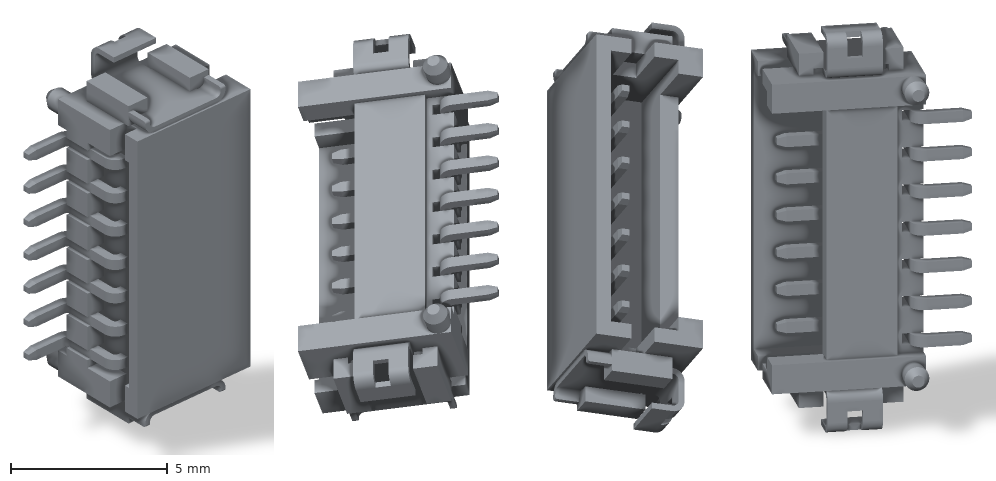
import cadquery as cq
import math


height = 3.6
depth = 5.0
half_length = 5.2
flange_inner_z = 4.225
flange_height = 2.5
back_face_y = 0.7
floor_x = 0.2
floor_front_y = 0.9
floor_back_y = 3.2
bar_bottom_x = 0.42
bar_top_x = 1.42
lip_front_y = 0.2
lip_end_x = 3.0
lip_middle_x = 3.2

cavity_bottom_x = 0.82
cavity_top_x = 3.1
cavity_half_length = 4.7
cavity_back_y = 1.4
mouth_slot_bottom_x = 1.63
mouth_slot_top_x = 2.42

pin_count = 7
pin_pitch = 1.25
pin_width = 0.37
pin_thickness = 0.33
pin_leg_y = 0.12
pin_bend_radius = 0.46
pin_top_x = 2.56
pin_tail_tip_y = -1.5
pin_contact_tip_y = 4.4
pin_taper_length = 0.3
pin_tip_width = 0.21
pin_tip_inset = 0.04

post_radius = 0.4
post_tip_radius = 0.2
post_length = 0.8
post_cone_length = 0.27
post_y = post_radius
post_z = half_length - post_radius

block_bottom_x = 0.69
block_top_x = 2.72
block_end_z = 5.95
block_width = 0.8
block_outer_y = (0.6, 4.0)
clip_center_y = sum(block_outer_y) / 2

sheet = 0.2
bend_radius = 2 * sheet
clip_width = block_outer_y[1] - block_outer_y[0] - 2 * block_width
clip_end_z = 6.7
hook_tab_x = 1.1
hook_slot_width = 0.5
hook_slot_bottom_z = 5.93
shoulder_x = 0.85
shoulder_width = 2.44
shoulder_radius = 0.18
groove_height = 0.23
plate_top_x = 3.53
curl_end_z = 5.73
curl_corner_radius = 0.08


def box(x0, x1, y0, y1, z0, z1):
    """Box given by its limits along each axis."""
    return cq.Workplane("XY").box(x1 - x0, y1 - y0, z1 - z0, centered=False).translate((x0, y0, z0))


def long_box(x0, x1, y0, y1, half_z):
    """Box centred on Z = 0."""
    return box(x0, x1, y0, y1, -half_z, half_z)


def both_ends(shape):
    """The shape together with its mirror image in the Z = 0 plane."""
    return shape.union(shape.mirror("XY"))


def make_housing():
    body = long_box(0, height, back_face_y, depth, half_length)
    body = body.union(long_box(0, flange_height, 0, back_face_y, half_length))
    body = body.union(long_box(lip_end_x, height, lip_front_y, back_face_y, half_length))
    for relief in (
        (0, floor_x, 0, depth),
        (0, bar_bottom_x, 0, floor_front_y),
        (0, cavity_bottom_x, floor_back_y, depth),
        (bar_top_x, lip_middle_x, 0, back_face_y),
    ):
        body = body.cut(long_box(*relief, flange_inner_z))
    body = body.cut(long_box(cavity_bottom_x, cavity_top_x, cavity_back_y, depth, cavity_half_length))
    body = body.cut(long_box(mouth_slot_bottom_x, mouth_slot_top_x, floor_back_y, depth, half_length))
    for z in pin_positions():
        slot = box(bar_bottom_x, bar_top_x, 0, back_face_y, z - pin_width / 2, z + pin_width / 2)
        body = body.cut(slot)
    return body


def pin_positions():
    return [(i - (pin_count - 1) / 2) * pin_pitch for i in range(pin_count)]


def make_pin_tip(root_y, tip_y, bottom_x):
    """Tapered end of a pin, from its full section to the smaller tip."""
    direction = math.copysign(1, tip_y - root_y)
    middle_x = bottom_x + pin_thickness / 2
    plane = cq.Plane(origin=(middle_x, root_y, 0), xDir=(1, 0, 0), normal=(0, direction, 0))
    return (
        cq.Workplane(plane)
        .rect(pin_thickness, pin_width)
        .workplane(offset=abs(tip_y - root_y))
        .rect(pin_thickness - 2 * pin_tip_inset, pin_tip_width)
        .loft()
    )


def make_pin():
    """S-shaped pin: tail along -Y, upright leg, contact along +Y."""
    inner_radius = pin_bend_radius - pin_thickness
    leg_back_y = pin_leg_y + pin_thickness
    contact_bottom_x = pin_top_x - pin_thickness
    tail_y = pin_tail_tip_y + pin_taper_length
    contact_y = pin_contact_tip_y - pin_taper_length
    tail_bend = (pin_bend_radius, leg_back_y - pin_bend_radius)
    top_bend = (pin_top_x - pin_bend_radius, pin_leg_y + pin_bend_radius)
    diagonal = math.sqrt(0.5)

    def on_tail_bend(radius):
        return (tail_bend[0] - radius * diagonal, tail_bend[1] + radius * diagonal)

    def on_top_bend(radius):
        return (top_bend[0] + radius * diagonal, top_bend[1] - radius * diagonal)

    pin = (
        cq.Workplane("XY")
        .moveTo(0, tail_y)
        .lineTo(0, tail_bend[1])
        .threePointArc(on_tail_bend(pin_bend_radius), (tail_bend[0], leg_back_y))
        .lineTo(top_bend[0], leg_back_y)
        .threePointArc(on_top_bend(inner_radius), (contact_bottom_x, top_bend[1]))
        .lineTo(contact_bottom_x, contact_y)
        .lineTo(pin_top_x, contact_y)
        .lineTo(pin_top_x, top_bend[1])
        .threePointArc(on_top_bend(pin_bend_radius), (top_bend[0], pin_leg_y))
        .lineTo(tail_bend[0], pin_leg_y)
        .threePointArc(on_tail_bend(inner_radius), (pin_thickness, tail_bend[1]))
        .lineTo(pin_thickness, tail_y)
        .close()
        .extrude(pin_width / 2, both=True)
    )
    pin = pin.union(make_pin_tip(tail_y, pin_tail_tip_y, 0))
    return pin.union(make_pin_tip(contact_y, pin_contact_tip_y, contact_bottom_x))


def make_post():
    """Round locating post with a conical tip, pointing to -X."""
    cone_root_x = post_cone_length - post_length
    return (
        cq.Workplane("XY")
        .polyline([
            (0, 0),
            (0, post_radius),
            (cone_root_x, post_radius),
            (-post_length, post_tip_radius),
            (-post_length, 0),
        ])
        .close()
        .revolve(360, (0, 0, 0), (1, 0, 0))
        .translate((0, post_y, post_z))
    )


def make_blocks():
    """Pair of blocks holding the clip, grooved where the plate runs under them."""
    front_y, rear_y = block_outer_y
    blocks = box(block_bottom_x, block_top_x, front_y, front_y + block_width, half_length, block_end_z)
    blocks = blocks.union(
        box(block_bottom_x, block_top_x, rear_y - block_width, rear_y, half_length, block_end_z)
    )
    groove = box(
        block_bottom_x, block_top_x,
        clip_center_y - shoulder_width / 2, clip_center_y + shoulder_width / 2,
        half_length, half_length + groove_height,
    )
    return blocks.cut(groove)


def make_hook():
    """C-shaped hook lying on the end wall, with a slot through its outer bend."""
    y0 = clip_center_y - clip_width / 2
    y1 = clip_center_y + clip_width / 2

    def c_section(start_x, bottom_z, top_z, radius):
        solid = box(start_x, hook_tab_x, y0, y1, bottom_z, top_z)
        return solid.edges("|Y and <X").fillet(radius)

    outer = c_section(0, half_length, clip_end_z, bend_radius)
    inner = c_section(sheet, half_length + sheet, clip_end_z - sheet, bend_radius - sheet)
    hook = outer.cut(inner)
    slot = box(
        0, bend_radius,
        clip_center_y - hook_slot_width / 2, clip_center_y + hook_slot_width / 2,
        hook_slot_bottom_z, clip_end_z,
    )
    return hook.cut(slot)


def make_plate():
    """Flat part of the clip, ending in a wider stretch with both edges curled up."""
    shoulder = box(
        shoulder_x, block_top_x,
        clip_center_y - shoulder_width / 2, clip_center_y + shoulder_width / 2,
        half_length, half_length + sheet,
    )
    shoulder = shoulder.edges("|Z and <X").fillet(shoulder_radius)

    def channel(inset):
        front_y, rear_y = block_outer_y
        solid = box(block_top_x, plate_top_x, front_y + inset, rear_y - inset, half_length + inset, curl_end_z)
        return solid.edges("|X and <Z").fillet(bend_radius - inset)

    curled = channel(0)
    curled = curled.edges("|Y and >X and >Z").fillet(curl_corner_radius)
    curled = curled.cut(channel(sheet))
    return shoulder.union(curled)


end_parts = make_blocks().union(make_hook()).union(make_plate()).union(make_post())
result = make_housing().union(both_ends(end_parts))
for pin_z in pin_positions():
    result = result.union(make_pin().translate((0, 0, pin_z)))